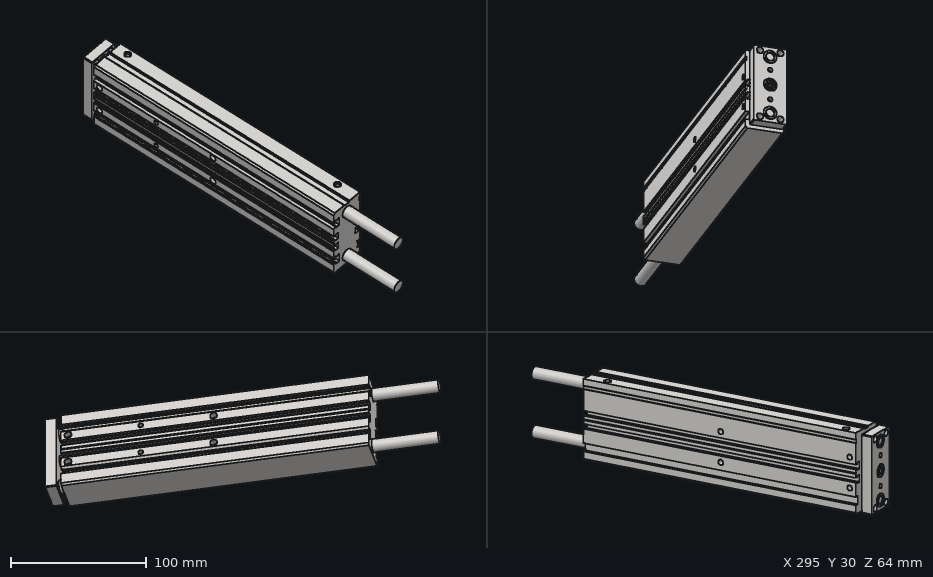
import cadquery as cq
import math


TOTAL_LENGTH = 295.0
PLATE_THICKNESS = 8.5
HOUSING_START = 12.5
HOUSING_LENGTH = 232.5
HOUSING_END = HOUSING_START + HOUSING_LENGTH

HALF_DEPTH = 30.0 / 2
HALF_HEIGHT = 64.0 / 2
CORNER_CHAMFER = 1.5
SLOT_EDGE_CHAMFER = 1.0

T_SLOT_MOUTH_OUTER = 21.2
T_SLOT_MOUTH_INNER = 17.5
T_SLOT_CAVITY_WIDTH = 7.5
T_SLOT_LIP = 2.7
T_SLOT_DEPTH = 6.5
T_SLOT_INNER_CHAMFER = 1.8

SENSOR_MOUTH_OUTER = 7.0
SENSOR_MOUTH_INNER = 3.2
SENSOR_CAVITY_WIDTH = 5.5
SENSOR_LIP = 1.8
SENSOR_DEPTH = 5.3
RAIL_GROOVE_WIDTH = 0.5
RAIL_GROOVE_DEPTH = 1.0

SHALLOW_GROOVE_DEPTH = 1.0
TOP_GROOVE_MOUTH_WIDTH = 6.2
TOP_GROOVE_FLOOR_WIDTH = TOP_GROOVE_MOUTH_WIDTH - 2 * SHALLOW_GROOVE_DEPTH
BACK_GROOVE_TOP = 26.5
BACK_GROOVE_BOTTOM = 24.0
BACK_SLOT_TOP = -18.3
BACK_SLOT_BOTTOM = -24.8
BACK_SLOT_DEPTH = 3.0

THREAD_DIAMETER = 5.3
THREAD_DEPTH = 6.0
MOUNTING_HOLE_DIAMETER = 4.0
MOUNTING_HOLE_FIRST_X = 17.7
MOUNTING_HOLE_SPACING = 110.0
HOLE_ROW_Z = 12.0
PORT_MOUTH_DEPTH = 1.8
PORT_DIAMETER = 4.0
PORT_DEPTH = 5.0
PORT_Y = 10.0
PORT_XS = (23.5, 227.2)

PIN_HOLE_DIAMETER = 3.5
PIN_HOLE_DEPTH = 4.5
DRILL_POINT_ANGLE = 118

GUIDE_ROD_DIAMETER = 10.0
GUIDE_ROD_Z = 23.0
PISTON_ROD_DIAMETER = 8.0
PISTON_ROD_END = 177.0
NECK_DIAMETER = 6.5
SOCKET_DIAMETER = 3.5
SOCKET_DEPTH = 2.5

PLATE_DEPTH = 26.0
PLATE_HEIGHT = 61.7
PLATE_CHAMFER = 0.5
RECESS_DIAMETER = 10.0
GUIDE_RECESS_DEPTH = 0.5
PISTON_RECESS_DEPTH = 2.5
CORNER_HOLE_DIAMETER = 5.0
CORNER_HOLE_Y = 8.0
CORNER_HOLE_Z = 27.0


def cylinder_x(diameter, start, end, y, z):
    """Round bar or bore along X."""
    return cq.Workplane("YZ", origin=(start, y, z)).circle(diameter / 2).extrude(end - start)


def cylinder(diameter, depth, mouth, direction):
    """Round hole cutter that starts at its mouth and runs along a direction."""
    solid = cq.Solid.makeCylinder(diameter / 2, depth, cq.Vector(*mouth), cq.Vector(*direction))
    return cq.Workplane(solid)


def drilled_hole(diameter, depth, mouth, direction):
    """Blind round hole cutter with a conical drill point."""
    radius = diameter / 2
    point_height = radius / math.tan(math.radians(DRILL_POINT_ANGLE / 2))
    axis = cq.Vector(*direction)
    bottom = cq.Vector(*mouth) + axis * depth
    point = cq.Solid.makeCone(radius, 0, point_height, bottom, axis)
    return cylinder(diameter, depth, mouth, direction).union(cq.Workplane(point))


def housing_prism(points):
    """Closed Y-Z outline carried along the whole housing."""
    return cq.Workplane("YZ", origin=(HOUSING_START, 0, 0)).polyline(points).close().extrude(HOUSING_LENGTH)


def housing_channel(y0, y1, z0, z1):
    """Rectangular channel along the whole housing."""
    return housing_prism([(y0, z0), (y1, z0), (y1, z1), (y0, z1)])


def front_channel(z0, z1, top_depth, floor_depth):
    """Channel between two depths below the front side."""
    return housing_channel(top_depth - HALF_DEPTH, floor_depth - HALF_DEPTH, z0, z1)


def undercut_slot(inner, outer, cavity_width, lip, depth):
    """Slot in the front side with a cavity wider than its mouth."""
    middle = (inner + outer) / 2
    mouth = front_channel(inner, outer, 0, depth)
    cavity = front_channel(middle - cavity_width / 2, middle + cavity_width / 2, lip, depth)
    return mouth.union(cavity)


def slot_edge_chamfer(z, rise):
    """Chamfer cutter on the front slot edge at z; a positive rise goes up from the edge."""
    front = -HALF_DEPTH
    return housing_prism([(front, z), (front, z + rise), (front + abs(rise), z)])


def t_slot():
    slot = undercut_slot(
        T_SLOT_MOUTH_INNER, T_SLOT_MOUTH_OUTER, T_SLOT_CAVITY_WIDTH, T_SLOT_LIP, T_SLOT_DEPTH
    )
    slot = slot.union(slot_edge_chamfer(T_SLOT_MOUTH_INNER, -T_SLOT_INNER_CHAMFER))
    return slot.union(slot_edge_chamfer(T_SLOT_MOUTH_OUTER, SLOT_EDGE_CHAMFER))


def sensor_slot():
    return undercut_slot(
        SENSOR_MOUTH_INNER, SENSOR_MOUTH_OUTER, SENSOR_CAVITY_WIDTH, SENSOR_LIP, SENSOR_DEPTH
    )


def top_groove():
    """Groove with sloping walls."""
    mouth = TOP_GROOVE_MOUTH_WIDTH / 2
    floor = TOP_GROOVE_FLOOR_WIDTH / 2
    floor_z = HALF_HEIGHT - SHALLOW_GROOVE_DEPTH
    return housing_prism([(-mouth, HALF_HEIGHT), (-floor, floor_z), (floor, floor_z), (mouth, HALF_HEIGHT)])


def cut_channels(body):
    sensor = sensor_slot()
    rail_groove = front_channel(-RAIL_GROOVE_WIDTH / 2, RAIL_GROOVE_WIDTH / 2, 0, RAIL_GROOVE_DEPTH)
    for cutter in (sensor, sensor.mirror("XY"), rail_groove):
        body = body.cut(cutter).cut(cutter.mirror("XZ"))

    for cutter in (t_slot(), slot_edge_chamfer(SENSOR_MOUTH_OUTER, SLOT_EDGE_CHAMFER)):
        body = body.cut(cutter).cut(cutter.mirror("XY"))

    groove_floor = HALF_DEPTH - SHALLOW_GROOVE_DEPTH
    slot_floor = HALF_DEPTH - BACK_SLOT_DEPTH
    body = body.cut(top_groove())
    body = body.cut(housing_channel(groove_floor, HALF_DEPTH, BACK_GROOVE_BOTTOM, BACK_GROOVE_TOP))
    return body.cut(housing_channel(slot_floor, HALF_DEPTH, BACK_SLOT_BOTTOM, BACK_SLOT_TOP))


def mounting_hole(x, z):
    """Through hole with a wider threaded length at the front."""
    mouth = (x, -HALF_DEPTH, z)
    through = cylinder(MOUNTING_HOLE_DIAMETER, 2 * HALF_DEPTH, mouth, (0, 1, 0))
    return through.union(cylinder(THREAD_DIAMETER, THREAD_DEPTH, mouth, (0, 1, 0)))


def air_port(x):
    """Stepped blind port in the top side."""
    mouth = (x, PORT_Y, HALF_HEIGHT)
    pilot = drilled_hole(PORT_DIAMETER, PORT_DEPTH, mouth, (0, 0, -1))
    return pilot.union(cylinder(THREAD_DIAMETER, PORT_MOUTH_DEPTH, mouth, (0, 0, -1)))


def cut_holes(body):
    pin_x = MOUNTING_HOLE_FIRST_X + MOUNTING_HOLE_SPACING / 2
    for z in (-HOLE_ROW_Z, HOLE_ROW_Z):
        for x in (MOUNTING_HOLE_FIRST_X, MOUNTING_HOLE_FIRST_X + MOUNTING_HOLE_SPACING):
            body = body.cut(mounting_hole(x, z))
        body = body.cut(drilled_hole(PIN_HOLE_DIAMETER, PIN_HOLE_DEPTH, (pin_x, -HALF_DEPTH, z), (0, 1, 0)))
    for x in PORT_XS:
        body = body.cut(air_port(x))
    for z in (-GUIDE_ROD_Z, GUIDE_ROD_Z):
        body = body.cut(cylinder_x(GUIDE_ROD_DIAMETER, HOUSING_START, HOUSING_END, 0, z))
    return body.cut(cylinder_x(PISTON_ROD_DIAMETER, HOUSING_START, PISTON_ROD_END, 0, 0))


def make_housing():
    body = housing_channel(-HALF_DEPTH, HALF_DEPTH, -HALF_HEIGHT, HALF_HEIGHT)
    body = body.edges("|X and (<Y or <Z)").chamfer(CORNER_CHAMFER)
    return cut_holes(cut_channels(body))


def make_plate():
    body = cq.Workplane("YZ").rect(PLATE_DEPTH, PLATE_HEIGHT).extrude(PLATE_THICKNESS)
    body = body.edges("|X").chamfer(PLATE_CHAMFER)
    rod_seats = (
        (-GUIDE_ROD_Z, GUIDE_RECESS_DEPTH),
        (0, PISTON_RECESS_DEPTH),
        (GUIDE_ROD_Z, GUIDE_RECESS_DEPTH),
    )
    for z, recess_depth in rod_seats:
        body = body.cut(cylinder_x(NECK_DIAMETER, 0, PLATE_THICKNESS, 0, z))
        body = body.cut(cylinder_x(RECESS_DIAMETER, 0, recess_depth, 0, z))
    for z in (-CORNER_HOLE_Z, CORNER_HOLE_Z):
        for y in (-CORNER_HOLE_Y, CORNER_HOLE_Y):
            body = body.cut(cylinder_x(CORNER_HOLE_DIAMETER, 0, PLATE_THICKNESS, y, z))
    for z in (-HOLE_ROW_Z, HOLE_ROW_Z):
        body = body.cut(drilled_hole(PIN_HOLE_DIAMETER, PIN_HOLE_DEPTH, (0, 0, z), (1, 0, 0)))
    return body


def make_necked_rod(diameter, end, z):
    """Rod whose narrower neck fills the seat in the plate."""
    neck = cylinder_x(NECK_DIAMETER, 0, PLATE_THICKNESS, 0, z)
    return neck.union(cylinder_x(diameter, PLATE_THICKNESS, end, 0, z))


def make_guide_rod(z):
    return make_necked_rod(GUIDE_ROD_DIAMETER, TOTAL_LENGTH, z)


def make_piston_rod():
    body = make_necked_rod(PISTON_ROD_DIAMETER, PISTON_ROD_END, 0)
    return body.cut(cylinder_x(SOCKET_DIAMETER, 0, SOCKET_DEPTH, 0, 0))


housing = make_housing()
plate = make_plate()
piston_rod = make_piston_rod()
guide_rods = [make_guide_rod(z) for z in (-GUIDE_ROD_Z, GUIDE_ROD_Z)]

result = cq.Compound.makeCompound(
    [housing.val(), plate.val(), piston_rod.val(), *[guide_rod.val() for guide_rod in guide_rods]]
)